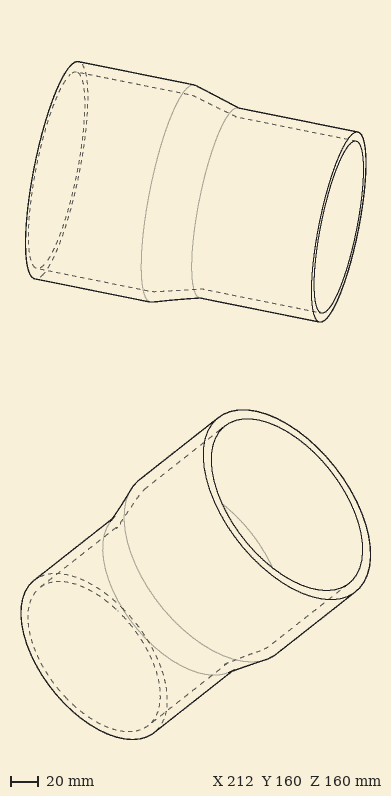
import cadquery as cq

large_outer_diameter = 160.0
large_inner_diameter = 144.6
small_outer_diameter = 140.0
small_inner_diameter = 126.6
large_length = 87.0
taper_length = 35.0
small_length = 90.0

taper_start = large_length
taper_end = taper_start + taper_length
total_length = taper_end + small_length


def stepped_cone(large_diameter, small_diameter):
    """Solid of revolution about X: large cylinder, cone, small cylinder."""
    large_radius = large_diameter / 2
    small_radius = small_diameter / 2
    profile = (
        cq.Workplane("XZ")
        .moveTo(0, 0)
        .lineTo(0, large_radius)
        .lineTo(taper_start, large_radius)
        .lineTo(taper_end, small_radius)
        .lineTo(total_length, small_radius)
        .lineTo(total_length, 0)
        .close()
    )
    return profile.revolve(360, (0, 0, 0), (1, 0, 0))


outer_body = stepped_cone(large_outer_diameter, small_outer_diameter)
bore = stepped_cone(large_inner_diameter, small_inner_diameter)
result = outer_body.cut(bore)